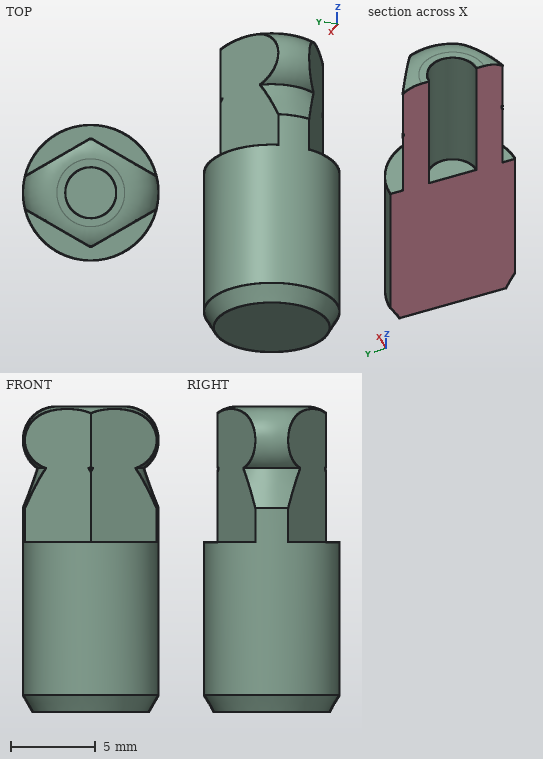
import cadquery as cq
import math

total_height = 18.0
body_radius = 4.0
body_height = 10.0
base_chamfer_height = 1.0
base_chamfer_angle = 30.0
head_arc_radius = 2.0
neck_radius = 3.13
neck_cone_bottom = 12.0
flat_angle = 30.0
ridge_half_width = 3.2
hole_diameter = 3.0

head_height = total_height - body_height
hole_depth = head_height
base_radius = body_radius - base_chamfer_height * math.tan(math.radians(base_chamfer_angle))
top_radius = body_radius - head_arc_radius
arc_center_z = total_height - head_arc_radius
neck_z = arc_center_z - math.sqrt(head_arc_radius**2 - (neck_radius - top_radius) ** 2)
rhombus_half_length = ridge_half_width / math.tan(math.radians(flat_angle))


def make_body():
    """Cylindrical shank with a chamfered lower end."""
    profile = (
        cq.Workplane("XZ")
        .lineTo(base_radius, 0)
        .lineTo(body_radius, base_chamfer_height)
        .lineTo(body_radius, body_height)
        .lineTo(0, body_height)
        .close()
    )
    return profile.revolve(360, (0, 0), (0, 1))


def make_head():
    """Rounded, necked head cut by four flats."""
    turned = (
        cq.Workplane("XZ")
        .moveTo(0, body_height)
        .lineTo(body_radius, body_height)
        .lineTo(body_radius, neck_cone_bottom)
        .lineTo(neck_radius, neck_z)
        .threePointArc((body_radius, arc_center_z), (top_radius, total_height))
        .lineTo(0, total_height)
        .close()
        .revolve(360, (0, 0), (0, 1))
    )
    flats = (
        cq.Workplane("XY", origin=(0, 0, body_height))
        .polyline([
            (rhombus_half_length, 0),
            (0, ridge_half_width),
            (-rhombus_half_length, 0),
            (0, -ridge_half_width),
        ])
        .close()
        .extrude(head_height)
    )
    return turned.intersect(flats)


result = make_body().union(make_head())
result = result.faces(">Z").workplane(origin=(0, 0, total_height)).hole(hole_diameter, hole_depth)